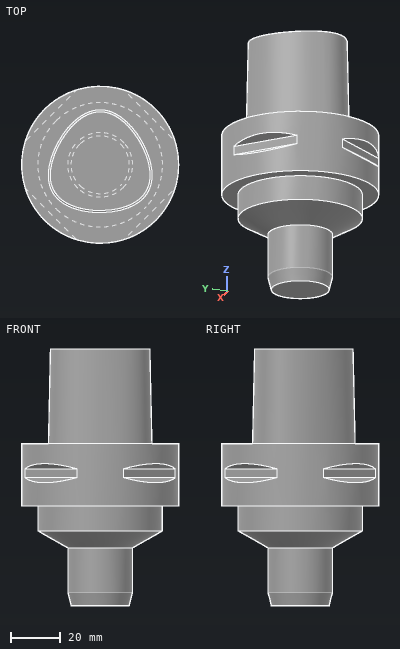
import cadquery as cq
import math

TOTAL_HEIGHT = 103.0
FLANGE_TOP = 65.0
FLANGE_BOTTOM = 40.0
COLLAR_BOTTOM = 30.0
CONE_BOTTOM = 23.2
NOSE_TAPER_HEIGHT = 5.3

FLANGE_DIAMETER = 63.0
COLLAR_DIAMETER = 50.0
SPIGOT_DIAMETER = 26.0
NOSE_TIP_DIAMETER = 23.3

SHANK_BASE_RADIUS = 20.6
SHANK_TOP_RADIUS = 19.8
SHANK_LOBE = 1.4
SHANK_LOBES = 3
POINTS_PER_LOBE = 12

GROOVE_COUNT = 4
GROOVE_FIRST_ANGLE = 45.0
GROOVE_CENTRE_Z = 53.1
GROOVE_FLOOR_RADIUS = 27.9
GROOVE_FLOOR_WIDTH = 3.5
GROOVE_SIDE_ANGLE = 30.0
GROOVE_CUT_DEPTH = 5.2


def turned_body():
    """Flange, collar, cone and tapered nose, revolved about Z."""
    profile = [
        (0, 0),
        (NOSE_TIP_DIAMETER / 2, 0),
        (SPIGOT_DIAMETER / 2, NOSE_TAPER_HEIGHT),
        (SPIGOT_DIAMETER / 2, CONE_BOTTOM),
        (COLLAR_DIAMETER / 2, COLLAR_BOTTOM),
        (COLLAR_DIAMETER / 2, FLANGE_BOTTOM),
        (FLANGE_DIAMETER / 2, FLANGE_BOTTOM),
        (FLANGE_DIAMETER / 2, FLANGE_TOP),
        (0, FLANGE_TOP),
    ]
    return cq.Workplane("XZ").polyline(profile).close().revolve(360, (0, 0), (0, 1))


def lobed_wire(mean_radius, z):
    """Closed trochoid outline at height z, starting on the -Y side."""
    count = SHANK_LOBES * POINTS_PER_LOBE
    points = []
    for i in range(count):
        t = 2 * math.pi * i / count
        x = mean_radius * math.sin(t) + SHANK_LOBE * math.sin((SHANK_LOBES - 1) * t)
        y = -mean_radius * math.cos(t) + SHANK_LOBE * math.cos((SHANK_LOBES - 1) * t)
        points.append(cq.Vector(x, y, z))
    return cq.Wire.assembleEdges([cq.Edge.makeSpline(points, periodic=True)])


def tapered_shank():
    base = lobed_wire(SHANK_BASE_RADIUS, FLANGE_TOP)
    top = lobed_wire(SHANK_TOP_RADIUS, TOTAL_HEIGHT)
    return cq.Workplane(cq.Solid.makeLoft([base, top], True))


def gripper_groove(angle):
    """Cutter for one straight groove across the flange rim."""
    inner = GROOVE_FLOOR_WIDTH / 2
    outer = inner + GROOVE_CUT_DEPTH * math.tan(math.radians(GROOVE_SIDE_ANGLE))
    mouth_radius = GROOVE_FLOOR_RADIUS + GROOVE_CUT_DEPTH
    section = [
        (GROOVE_FLOOR_RADIUS, GROOVE_CENTRE_Z - inner),
        (mouth_radius, GROOVE_CENTRE_Z - outer),
        (mouth_radius, GROOVE_CENTRE_Z + outer),
        (GROOVE_FLOOR_RADIUS, GROOVE_CENTRE_Z + inner),
    ]
    cutter = cq.Workplane("XZ").polyline(section).close().extrude(FLANGE_DIAMETER / 2, both=True)
    return cutter.rotate((0, 0, 0), (0, 0, 1), angle)


result = turned_body().union(tapered_shank())
for index in range(GROOVE_COUNT):
    groove_angle = GROOVE_FIRST_ANGLE + index * 360 / GROOVE_COUNT
    result = result.cut(gripper_groove(groove_angle))